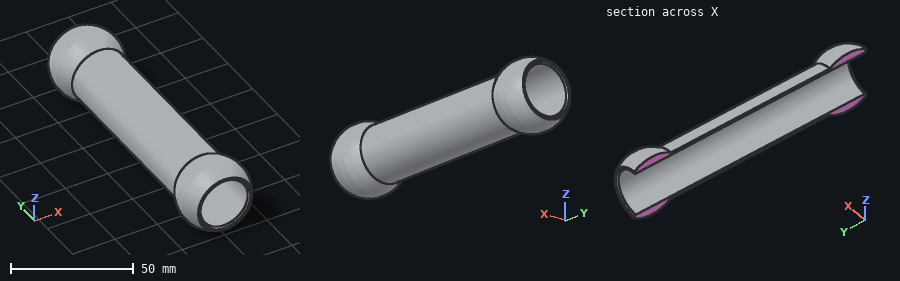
import cadquery as cq
import math

LENGTH = 120.65
TUBE_DIAMETER = 25.4
BORE_DIAMETER = 22.23
BALL_DIAMETER = 31.75
BAND_DIAMETER = 31.5
BORE_CHAMFER = 0.8

ball_radius = BALL_DIAMETER / 2
tube_radius = TUBE_DIAMETER / 2
band_radius = BAND_DIAMETER / 2

bead_half_length = math.sqrt(ball_radius**2 - tube_radius**2)
bead_center = LENGTH / 2 - bead_half_length


def y_cylinder(diameter, length):
    """Cylinder along Y, centred on the origin."""
    return cq.Workplane("XZ").circle(diameter / 2).extrude(length / 2, both=True)


def bead(center_y):
    """Solid spherical bead, trimmed to the tube diameter at both sides and banded at its equator."""
    band_half_width = math.sqrt(ball_radius**2 - band_radius**2)
    flank_middle = (bead_half_length + band_half_width) / 2
    flank_radius = math.sqrt(ball_radius**2 - flank_middle**2)
    profile = (
        cq.Workplane("XY")
        .moveTo(0, -bead_half_length)
        .lineTo(tube_radius, -bead_half_length)
        .threePointArc((flank_radius, -flank_middle), (band_radius, -band_half_width))
        .lineTo(band_radius, band_half_width)
        .threePointArc((flank_radius, flank_middle), (tube_radius, bead_half_length))
        .lineTo(0, bead_half_length)
        .close()
    )
    return profile.revolve(360, (0, 0, 0), (0, 1, 0)).translate((0, center_y, 0))


def bored(body):
    """Cut the through bore and chamfer its rim at both end faces."""
    cut = body.cut(y_cylinder(BORE_DIAMETER, LENGTH))
    rims = cut.faces("<Y or >Y").edges(cq.selectors.RadiusNthSelector(0))
    return rims.chamfer(BORE_CHAMFER)


body = y_cylinder(TUBE_DIAMETER, LENGTH)
for side in (-1, 1):
    body = body.union(bead(side * bead_center))

result = bored(body)